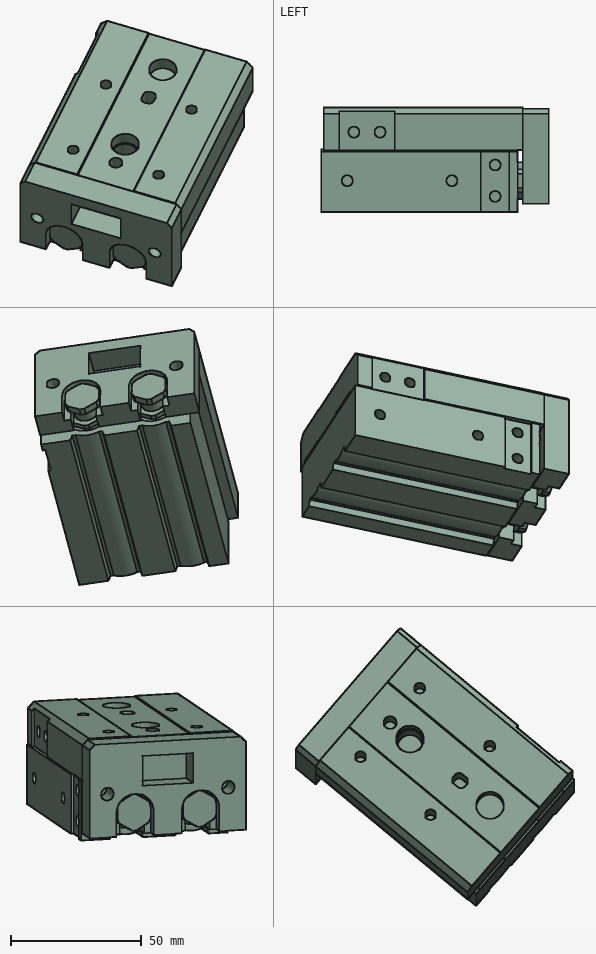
import cadquery as cq
import math


WIDTH = 62.0
LENGTH = 87.0
HEIGHT = 40.0
HALF_WIDTH = WIDTH / 2

PLATE_THICKNESS = 10.1
ROD_GAP = 1.9
HOUSING_FRONT = PLATE_THICKNESS + ROD_GAP
TABLE_LENGTH = 75.95
TABLE_REAR = PLATE_THICKNESS + TABLE_LENGTH

HOUSING_TOP = 23.1
RAIL_TOP = 24.1
TABLE_BOTTOM = 23.7

SCREW_DIAMETER = 4.2
PIN_DIAMETER = 5.0
SIDE_HOLE_DEPTH = 7.0
TOP_HOLE_DEPTH = 10.4

TABLE_CHAMFER = 2.5
CENTER_STRIP_WIDTH = 23.2
CENTER_STRIP_DROP = 0.305
SCREW_PITCH = 35.0
FRONT_HOLE_Y = 21.05
PIN_SLOT_LENGTH = 5.8
PIN_SLOT_CORNER_RADIUS = 2.0
ACCESS_DIAMETER = 10.5
ACCESS_DEPTH = 5.4
ACCESS_THROUGH_DIAMETER = 9.5
FRONT_ACCESS_Y = 31.0
ACCESS_PITCH = 40.0
SIDE_POCKET_FRONT = 58.8
SIDE_POCKET_LENGTH = 21.3
SIDE_POCKET_TOP = 38.9
SIDE_POCKET_DEPTH = 1.0
POCKET_HOLE_Z = 30.5
POCKET_HOLE_Y = 64.5
POCKET_HOLE_PITCH = 10.0

PLATE_BOTTOM = 3.1
PLATE_TOP = 39.5
PLATE_CHAMFER = 2.0
WINDOW_WIDTH = 20.1
WINDOW_BOTTOM = 22.5
WINDOW_HEIGHT = 11.6
WINDOW_DEPTH = 9.6
PLATE_HOLE_SPACING = 48.0
PLATE_HOLE_Z = 20.0
HEAD_SLOT_WIDTH = 15.0
HEAD_SLOT_DEPTH = 4.35
NECK_SLOT_WIDTH = 9.8

HEAD_SETBACK = 1.4
ROD_SPACING = 26.0
ROD_X = [-ROD_SPACING / 2, ROD_SPACING / 2]
ROD_Z = 12.0
HEX_FLATS = 13.05
HEX_CORNER_DIAMETER = 14.1
NECK_DIAMETER = 9.0
PISTON_DIAMETER = 16.0
PISTON_LENGTH = 52.2

HOUSING_RIGHT = 27.15
SIDE_RECESS_FRONT = 15.2
SIDE_RECESS_LENGTH = 10.8
SIDE_RECESS_DEPTH = 1.05
RECESS_HOLE_Y = 20.5
RECESS_HOLE_PITCH = 12.0
MOUNT_HOLE_Y = 37.1
MOUNT_HOLE_PITCH = 39.9
SENSOR_SLOT_WIDTH = 13.2
SENSOR_SLOT_TOP_WIDTH = 11.7
SENSOR_SLOT_HEIGHT = 2.5
CYLINDER_WALL_RADIUS = 10.5

RAIL_WIDTH = 49.8
RAIL_GROOVE_WIDTH = 19.8
RAIL_GROOVE_DEPTH = 0.4


def box(x_min, x_max, y_min, y_max, z_min, z_max):
    size = (x_max - x_min, y_max - y_min, z_max - z_min)
    return cq.Workplane("XY").box(*size, centered=False).translate((x_min, y_min, z_min))


def along_y(y_start):
    """Workplane with local x = X and local y = Z; a negative extrude runs toward +Y."""
    return cq.Workplane("XZ", origin=(0, y_start, 0))


def y_cylinder(x, z, diameter, y_start, y_end):
    return along_y(y_start).center(x, z).circle(diameter / 2).extrude(y_start - y_end)


def left_holes(surface_x, places):
    """Screw holes drilled toward +X from a left-hand surface, at (y, z) places."""
    plane = cq.Workplane("YZ", origin=(surface_x, 0, 0))
    return plane.pushPoints(places).circle(SCREW_DIAMETER / 2).extrude(SIDE_HOLE_DEPTH)


def chamfered_block(y_min, y_max, z_min, z_max, chamfer):
    """Full-width block with both long upper edges chamfered."""
    block = box(-HALF_WIDTH, HALF_WIDTH, y_min, y_max, z_min, z_max)
    return block.edges("|Y and >Z").chamfer(chamfer)


def table_top_holes(surface_z):
    """Screw holes, pin hole and a pin slot with rounded corners, from the upper face."""
    plane = cq.Workplane("XY", origin=(0, 0, HEIGHT))
    rear_hole_y = FRONT_HOLE_Y + SCREW_PITCH
    depth = TOP_HOLE_DEPTH + HEIGHT - surface_z
    screw_places = [
        (x, y) for x in (-SCREW_PITCH / 2, SCREW_PITCH / 2) for y in (FRONT_HOLE_Y, rear_hole_y)
    ]
    screws = plane.pushPoints(screw_places).circle(SCREW_DIAMETER / 2).extrude(-depth)
    pin = plane.center(0, FRONT_HOLE_Y).circle(PIN_DIAMETER / 2).extrude(-depth)
    slot = plane.center(0, rear_hole_y).rect(PIN_DIAMETER, PIN_SLOT_LENGTH).extrude(-depth)
    slot = slot.edges("|Z").fillet(PIN_SLOT_CORNER_RADIUS)
    return screws.add(pin).add(slot).combine()


def make_table():
    table = chamfered_block(PLATE_THICKNESS, TABLE_REAR, TABLE_BOTTOM, HEIGHT, TABLE_CHAMFER)

    strip_z = HEIGHT - CENTER_STRIP_DROP
    top_half = CENTER_STRIP_WIDTH / 2
    bottom_half = top_half - CENTER_STRIP_DROP
    strip_outline = [
        (-top_half, HEIGHT), (-bottom_half, strip_z), (bottom_half, strip_z), (top_half, HEIGHT)
    ]
    table = table.cut(along_y(PLATE_THICKNESS).polyline(strip_outline).close().extrude(-TABLE_LENGTH))

    table = table.cut(table_top_holes(strip_z))

    access_plane = cq.Workplane("XY", origin=(0, FRONT_ACCESS_Y, strip_z))
    access_places = [(0, 0), (0, ACCESS_PITCH)]
    wide_holes = access_plane.pushPoints(access_places).circle(ACCESS_DIAMETER / 2).extrude(-ACCESS_DEPTH)
    through_hole = access_plane.circle(ACCESS_THROUGH_DIAMETER / 2).extrude(TABLE_BOTTOM - strip_z)
    table = table.cut(wide_holes).cut(through_hole)

    pocket_floor = -HALF_WIDTH + SIDE_POCKET_DEPTH
    pocket_rear = SIDE_POCKET_FRONT + SIDE_POCKET_LENGTH
    table = table.cut(
        box(-HALF_WIDTH, pocket_floor, SIDE_POCKET_FRONT, pocket_rear, TABLE_BOTTOM, SIDE_POCKET_TOP)
    )
    hole_places = [(POCKET_HOLE_Y + i * POCKET_HOLE_PITCH, POCKET_HOLE_Z) for i in range(2)]
    table = table.cut(left_holes(pocket_floor, hole_places))

    half_rail = RAIL_WIDTH / 2
    return table.cut(box(-half_rail, half_rail, PLATE_THICKNESS, TABLE_REAR, TABLE_BOTTOM, RAIL_TOP))


def rod_slot(x, width, y_start, y_end):
    """Slot with a round upper end at the rod axis, open at the bottom of the end plate."""
    round_end = y_cylinder(x, ROD_Z, width, y_start, y_end)
    return round_end.union(box(x - width / 2, x + width / 2, y_start, y_end, PLATE_BOTTOM, ROD_Z))


def make_end_plate():
    plate = chamfered_block(0, PLATE_THICKNESS, PLATE_BOTTOM, PLATE_TOP, PLATE_CHAMFER)
    half_window = WINDOW_WIDTH / 2
    window_top = WINDOW_BOTTOM + WINDOW_HEIGHT
    plate = plate.cut(box(-half_window, half_window, 0, WINDOW_DEPTH, WINDOW_BOTTOM, window_top))
    for x in (-PLATE_HOLE_SPACING / 2, PLATE_HOLE_SPACING / 2):
        plate = plate.cut(y_cylinder(x, PLATE_HOLE_Z, PIN_DIAMETER, 0, PLATE_THICKNESS))
    for x in ROD_X:
        plate = plate.cut(rod_slot(x, HEAD_SLOT_WIDTH, 0, HEAD_SLOT_DEPTH))
        plate = plate.cut(rod_slot(x, NECK_SLOT_WIDTH, HEAD_SLOT_DEPTH, PLATE_THICKNESS))
    return plate


def hex_collar(x, y_start, y_end):
    """Hexagon with upright side flats and corners turned to a smaller diameter."""
    across_corners = HEX_FLATS / math.cos(math.pi / 6)
    hexagon = cq.Workplane("XY").polygon(6, across_corners).extrude(y_end - y_start)
    hexagon = hexagon.rotate((0, 0, 0), (0, 0, 1), 30)
    hexagon = hexagon.rotate((0, 0, 0), (1, 0, 0), -90).translate((x, y_start, ROD_Z))
    return hexagon.intersect(y_cylinder(x, ROD_Z, HEX_CORNER_DIAMETER, y_start, y_end))


def make_rod(x):
    rod = hex_collar(x, HEAD_SETBACK, HEAD_SLOT_DEPTH)
    rod = rod.union(y_cylinder(x, ROD_Z, NECK_DIAMETER, HEAD_SLOT_DEPTH, PLATE_THICKNESS))
    rod = rod.union(hex_collar(x, PLATE_THICKNESS, HOUSING_FRONT))
    piston_end = HOUSING_FRONT + PISTON_LENGTH
    return rod.union(y_cylinder(x, ROD_Z, PISTON_DIAMETER, HOUSING_FRONT, piston_end))


def sensor_slot(x):
    """Tapered slot along the underside, with the round cylinder wall bulging into it."""
    bottom_half = SENSOR_SLOT_WIDTH / 2
    top_half = SENSOR_SLOT_TOP_WIDTH / 2
    outline = [
        (x - bottom_half, 0), (x - top_half, SENSOR_SLOT_HEIGHT),
        (x + top_half, SENSOR_SLOT_HEIGHT), (x + bottom_half, 0)
    ]
    slot = along_y(HOUSING_FRONT).polyline(outline).close().extrude(HOUSING_FRONT - LENGTH)
    return slot.cut(y_cylinder(x, ROD_Z, 2 * CYLINDER_WALL_RADIUS, HOUSING_FRONT, LENGTH))


def make_housing():
    housing = box(-HALF_WIDTH, HOUSING_RIGHT, HOUSING_FRONT, LENGTH, 0, HOUSING_TOP)

    recess_floor = -HALF_WIDTH + SIDE_RECESS_DEPTH
    recess_rear = SIDE_RECESS_FRONT + SIDE_RECESS_LENGTH
    housing = housing.cut(
        box(-HALF_WIDTH, recess_floor, SIDE_RECESS_FRONT, recess_rear, 0, HOUSING_TOP)
    )
    recess_places = [(RECESS_HOLE_Y, ROD_Z + side * RECESS_HOLE_PITCH / 2) for side in (-1, 1)]
    housing = housing.cut(left_holes(recess_floor, recess_places))

    mount_places = [(MOUNT_HOLE_Y + i * MOUNT_HOLE_PITCH, ROD_Z) for i in range(2)]
    housing = housing.cut(left_holes(-HALF_WIDTH, mount_places))

    for x in ROD_X:
        bore = y_cylinder(x, ROD_Z, PISTON_DIAMETER, HOUSING_FRONT, HOUSING_FRONT + PISTON_LENGTH)
        housing = housing.cut(bore).cut(sensor_slot(x))
    return housing


def make_rail():
    half_rail = RAIL_WIDTH / 2
    half_groove = RAIL_GROOVE_WIDTH / 2
    groove_floor = RAIL_TOP - RAIL_GROOVE_DEPTH
    rail = box(-half_rail, half_rail, HOUSING_FRONT, LENGTH, HOUSING_TOP, RAIL_TOP)
    return rail.cut(box(-half_groove, half_groove, HOUSING_FRONT, LENGTH, groove_floor, RAIL_TOP))


table = make_table()
end_plate = make_end_plate()
housing = make_housing()
rail = make_rail()
rods = [make_rod(x) for x in ROD_X]

result = cq.Compound.makeCompound(
    [table.val(), end_plate.val(), housing.val(), rail.val(), *[rod.val() for rod in rods]]
)